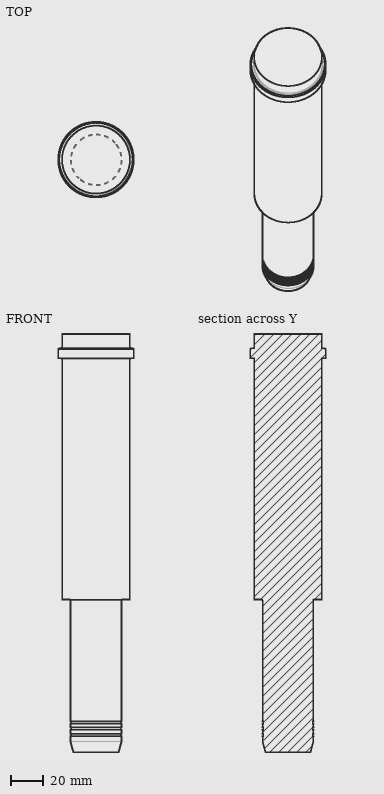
import cadquery as cq
import math

total_length = 260.0
pin_length = 95.0
pin_diameter = 32.0
sleeve_diameter = 42.0

flange_diameter = 47.0
flange_thickness = 6.5
flange_setback = 8.8
flange_chamfer = 0.8

nose_length = 7.0
nose_angle = 15
nose_tip_fillet = 0.5

shoulder_fillet = 0.5

groove_count = 3
groove_pitch = 4.0
groove_width = 1.5
groove_depth = 0.5
groove_floor_fillet = 0.4
first_groove_height = 11.0

pin_radius = pin_diameter / 2
sleeve_radius = sleeve_diameter / 2
flange_radius = flange_diameter / 2
flange_top = total_length - flange_setback
flange_base = flange_top - flange_thickness


def make_cylinder(radius, base, length):
    """Upright cylinder on the Z axis."""
    return cq.Workplane("XY").workplane(offset=base).circle(radius).extrude(length)


def make_pin():
    """Pin with a conical nose and a rounded tip edge."""
    nose_tip_radius = pin_radius - nose_length * math.tan(math.radians(nose_angle))
    nose = (
        cq.Workplane("XZ")
        .lineTo(nose_tip_radius, 0)
        .lineTo(pin_radius, nose_length)
        .lineTo(0, nose_length)
        .close()
        .revolve(360, (0, 0, 0), (0, 1, 0))
        .faces("<Z")
        .edges()
        .fillet(nose_tip_fillet)
    )
    return nose.union(make_cylinder(pin_radius, nose_length, pin_length - nose_length))


def make_flange():
    """Collar around the sleeve, chamfered on its upper rim."""
    flange = make_cylinder(flange_radius, flange_base, flange_thickness)
    return flange.faces(">Z").edges().chamfer(flange_chamfer)


def fillet_shoulder(body, radius, height):
    """Round the inside corner where a cylinder of the given radius meets a flat shoulder."""
    margin = 0.13
    reach = radius + margin
    corner = cq.selectors.BoxSelector(
        (-reach, -reach, height - margin), (reach, reach, height + margin), boundingbox=True
    )
    return body.edges(corner).fillet(shoulder_fillet)


def make_groove(height):
    """Ring that cuts one groove with rounded floor corners, centred on the given height."""
    base = height - groove_width / 2
    ring = make_cylinder(pin_radius, base, groove_width)
    core = make_cylinder(pin_radius - groove_depth, base, groove_width)
    return ring.cut(core).edges(cq.selectors.RadiusNthSelector(0)).fillet(groove_floor_fillet)


sleeve = make_cylinder(sleeve_radius, pin_length, total_length - pin_length)
result = make_pin().union(sleeve).union(make_flange())

result = fillet_shoulder(result, pin_radius, pin_length)
for shoulder_height in (flange_base, flange_top):
    result = fillet_shoulder(result, sleeve_radius, shoulder_height)

for index in range(groove_count):
    result = result.cut(make_groove(first_groove_height + index * groove_pitch))